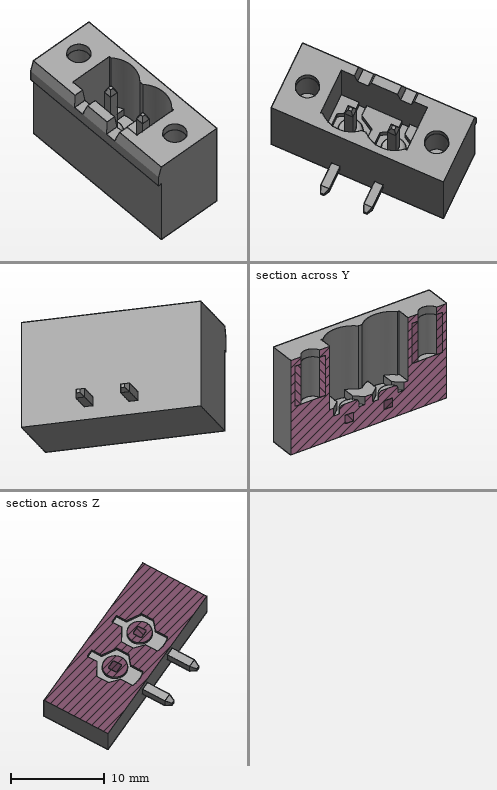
import cadquery as cq


length = 20.32
height = 12.0
overall_depth = 12.0
pitch = length / 4
pin_xs = (-pitch / 2, pitch / 2)
flange_xs = (-1.5 * pitch, 1.5 * pitch)

back_y = 3.8
body_depth = 8.09
lip_overhang = 0.4
lip_slope_height = 1.38
lip_height = 2.8
front_y = back_y - body_depth
lip_y = front_y - lip_overhang

cavity_length = 2 * pitch
cavity_floor_z = 4.0
front_wall = 1.5
back_wall = 1.69
cavity_front_y = lip_y + front_wall
cavity_back_y = back_y - back_wall
lobe_rise = 0.91
lobe_chord = 4.6
lobe_top_y = cavity_back_y + lobe_rise

recess_depth = 1.0
recess_floor_z = cavity_floor_z - recess_depth
recess_width = 4.1
back_neck_width = 2.03
front_neck_width = 0.9
back_neck_y = 1.35
wide_back_y = 0.47
wide_front_y = -1.02
front_neck_y = -1.95

collar_diameter = 2.76
collar_height = recess_depth
collar_rounding = 0.49

notch_top_width = 2.0
notch_floor_width = 1.25
notch_depth = lip_slope_height

pin_width = 1.0
pin_tip_width = 0.4
pin_taper = 0.73
pin_tip_z = height - 1.3
tail_z = 2.0
tail_tip_y = lip_y + overall_depth

bore_diameter = 2.6
insert_diameter = 4.0
insert_length = 5.0
insert_top_z = height - 1.0
insert_bottom_z = insert_top_z - insert_length


def tapered_bar(plane, bar_length):
    """Square bar along the plane's normal, with a blunt pyramid at its far end."""
    shank_length = bar_length - pin_taper
    shank = cq.Workplane(plane).rect(pin_width, pin_width).extrude(shank_length)
    tip = (
        cq.Workplane(plane)
        .workplane(offset=shank_length)
        .rect(pin_width, pin_width)
        .workplane(offset=pin_taper)
        .rect(pin_tip_width, pin_tip_width)
        .loft(combine=True)
    )
    return shank.union(tip)


def make_pin(x):
    """Right-angled pin: a post up into the cavity and a tail out of the back."""
    heel = pin_width / 2
    post_bottom_z = tail_z - heel
    post_plane = cq.Plane(origin=(x, 0, post_bottom_z), xDir=(1, 0, 0), normal=(0, 0, 1))
    tail_plane = cq.Plane(origin=(x, -heel, tail_z), xDir=(1, 0, 0), normal=(0, 1, 0))
    post = tapered_bar(post_plane, pin_tip_z - post_bottom_z)
    tail = tapered_bar(tail_plane, tail_tip_y + heel)
    return post.union(tail)


def make_insert(x):
    """Plain sleeve embedded in the flange, with its bore in line with the flange hole."""
    return (
        cq.Workplane("XY", origin=(x, 0, insert_bottom_z))
        .circle(insert_diameter / 2)
        .circle(bore_diameter / 2)
        .extrude(insert_length)
    )


def housing_block():
    """Solid block with the sloped lip along its top front edge."""
    profile = [
        (back_y, 0),
        (back_y, height),
        (front_y, height),
        (lip_y, height - lip_slope_height),
        (lip_y, height - lip_height),
        (front_y, height - lip_height),
        (front_y, 0),
    ]
    return cq.Workplane("YZ", origin=(-length / 2, 0, 0)).polyline(profile).close().extrude(length)


def cavity_prism(floor_z):
    """Cavity outline, straight in front and with one round lobe behind each pin."""
    half_length = cavity_length / 2
    outline = (
        cq.Workplane("XY", origin=(0, 0, floor_z))
        .moveTo(-half_length, cavity_front_y)
        .lineTo(-half_length, cavity_back_y)
    )
    for x in pin_xs:
        outline = outline.lineTo(x - lobe_chord / 2, cavity_back_y).threePointArc(
            (x, lobe_top_y), (x + lobe_chord / 2, cavity_back_y)
        )
    outline = outline.lineTo(half_length, cavity_back_y).lineTo(half_length, cavity_front_y)
    return outline.close().extrude(height - floor_z)


def keyed_recess(x):
    """Recess with a wide middle and a neck to each wall, ending at the cavity walls."""
    right_side = [
        (back_neck_width / 2, lobe_top_y),
        (back_neck_width / 2, back_neck_y),
        (recess_width / 2, wide_back_y),
        (recess_width / 2, wide_front_y),
        (front_neck_width / 2, front_neck_y),
        (front_neck_width / 2, cavity_front_y),
    ]
    left_side = [(-dx, y) for dx, y in reversed(right_side)]
    prism = (
        cq.Workplane("XY", origin=(x, 0, recess_floor_z))
        .polyline(right_side + left_side)
        .close()
        .extrude(recess_depth)
    )
    return prism.intersect(cavity_prism(recess_floor_z))


def collar(x):
    """Round boss with a rounded top edge at the foot of a pin."""
    return (
        cq.Workplane("XY", origin=(x, 0, recess_floor_z))
        .circle(collar_diameter / 2)
        .extrude(collar_height)
        .faces(">Z")
        .edges()
        .fillet(collar_rounding)
    )


def coding_notch(x):
    """Tapered notch through the front wall, narrower at its floor."""
    floor_z = height - notch_depth
    profile = [
        (-notch_top_width / 2, height),
        (notch_top_width / 2, height),
        (notch_floor_width / 2, floor_z),
        (-notch_floor_width / 2, floor_z),
    ]
    return cq.Workplane("XZ", origin=(x, cavity_front_y, 0)).polyline(profile).close().extrude(front_wall)


def flange_hole(x):
    """Hole from the top face down to the bottom of the insert."""
    return (
        cq.Workplane("XY", origin=(x, 0, insert_bottom_z))
        .circle(bore_diameter / 2)
        .extrude(height - insert_bottom_z)
    )


def make_housing(pins, inserts):
    """Housing with its cavity and flange holes, and a matching seat for each pin and insert."""
    body = housing_block().cut(cavity_prism(cavity_floor_z))
    for x in pin_xs:
        body = body.cut(keyed_recess(x)).union(collar(x)).cut(coding_notch(x))
    for x in flange_xs:
        body = body.cut(flange_hole(x))
    for fitted_body in pins + inserts:
        body = body.cut(fitted_body)
    return body


pins = [make_pin(x) for x in pin_xs]
inserts = [make_insert(x) for x in flange_xs]
housing = make_housing(pins, inserts)

result = cq.Compound.makeCompound(
    [
        housing.solids().val(),
        *[pin.solids().val() for pin in pins],
        *[insert.solids().val() for insert in inserts],
    ]
)